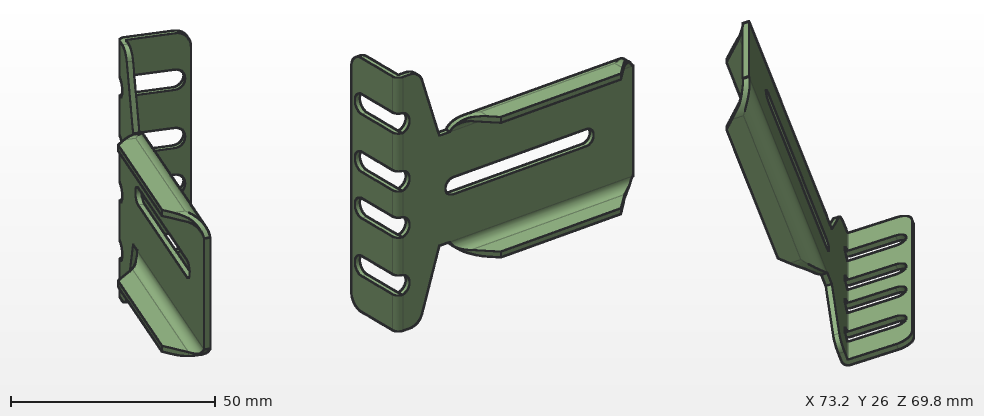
import cadquery as cq
import math

thickness = 1.6
length = 73.2
height = 69.8
wall_reach = 16.6
flange_depth = 9.4
bend_outer_radius = 1.75
corner_radius = 4.0

plate_half_height = 15.15
head_top_width = 6.9
head_base_width = 13.1

slot_start = 15.0
slot_end = 60.9
slot_width = 4.7

wall_slot_width = 5.5
wall_slot_heights = (6.4, 22.25)
wall_slot_margin = 1.5
wall_slot_reach = wall_reach - wall_slot_margin
wall_slot_plate_end = 3.9

flange_inner_radius = 2.55
flange_outer_radius = flange_inner_radius + thickness
flange_half_height = plate_half_height + flange_outer_radius
flange_middle = 44.65
flange_root_half = 28.3
flange_tip_half = 18.6
flange_crest_half = 20.8
trim_bulge = 0.2

half_height = height / 2

pick_margin = 0.1


def make_plate():
    outline = [
        (0, -half_height),
        (head_top_width, -half_height),
        (head_base_width, -plate_half_height),
        (length, -plate_half_height),
        (length, plate_half_height),
        (head_base_width, plate_half_height),
        (head_top_width, half_height),
        (0, half_height),
    ]
    plate = cq.Workplane("XZ").polyline(outline).close().extrude(thickness)
    head_corners = cq.selectors.BoxSelector(
        (head_top_width - pick_margin, -length, -height), (head_top_width + pick_margin, length, height)
    )
    return plate.edges("|Y").edges(head_corners).fillet(corner_radius)


def make_wall():
    wall = (
        cq.Workplane("XY")
        .box(thickness, wall_reach + thickness, height, centered=(False, False, True))
        .translate((0, -thickness, 0))
    )
    return wall.edges("|X and >Y").fillet(corner_radius)


def round_wall_bend(body):
    inner_corner = cq.selectors.BoxSelector(
        (thickness - pick_margin, -pick_margin, -height), (thickness + pick_margin, pick_margin, height)
    )
    body = body.edges("|Z").edges(inner_corner).fillet(bend_outer_radius - thickness)
    return body.edges("|Z and <X and <Y").fillet(bend_outer_radius)


def rounded_slot(plane, start, end, width):
    """Slot cutter on the given plane, long axis along the plane's local x."""
    return (
        cq.Workplane(plane)
        .center((start + end) / 2, 0)
        .slot2D(end - start, width)
        .extrude(length, both=True)
    )


def cut_wall_slots(body):
    end_radius = wall_slot_width / 2
    in_plate = rounded_slot("XZ", -length, wall_slot_plate_end, wall_slot_width)
    in_plate = in_plate.intersect(
        cq.Workplane("XY").box(length, thickness, height).translate((0, -thickness / 2, 0))
    )
    in_wall = rounded_slot("YZ", -thickness - end_radius, wall_slot_reach, wall_slot_width)
    in_wall = in_wall.intersect(
        cq.Workplane("XY").box(thickness, length, height).translate((thickness / 2, 0, 0))
    )
    bend_clearance = cq.Workplane("XY").box(
        2 * bend_outer_radius, 2 * (bend_outer_radius - thickness), wall_slot_width
    )
    for offset in wall_slot_heights:
        for z in (-offset, offset):
            for cutter in (in_plate, in_wall, bend_clearance):
                body = body.cut(cutter.translate((0, 0, z)))
    return body


def make_flange():
    """Upper flange: a bent strip whose ends are trimmed from the side and from above."""
    diagonal = math.sqrt(0.5)
    inner_face = flange_half_height - thickness
    section = (
        cq.Workplane("YZ")
        .moveTo(0, plate_half_height)
        .threePointArc(
            (
                -flange_outer_radius * (1 - diagonal),
                plate_half_height + flange_outer_radius * diagonal,
            ),
            (-flange_outer_radius, flange_half_height),
        )
        .lineTo(-flange_depth, flange_half_height)
        .lineTo(-flange_depth, inner_face)
        .lineTo(-flange_outer_radius, inner_face)
        .threePointArc(
            (
                -flange_outer_radius + flange_inner_radius * diagonal,
                plate_half_height + flange_inner_radius * diagonal,
            ),
            (-thickness, plate_half_height),
        )
        .close()
        .extrude(flange_root_half, both=True)
    )

    run = flange_root_half - flange_crest_half
    round_radius = (run**2 + flange_outer_radius**2) / (2 * flange_outer_radius)
    half_angle = math.asin(run / round_radius) / 2
    round_x = flange_crest_half + round_radius * math.sin(half_angle)
    round_z = flange_half_height - round_radius * (1 - math.cos(half_angle))
    rounded_ends = (
        cq.Workplane("XZ")
        .moveTo(-flange_root_half, plate_half_height)
        .threePointArc((-round_x, round_z), (-flange_crest_half, flange_half_height))
        .lineTo(flange_crest_half, flange_half_height)
        .threePointArc((round_x, round_z), (flange_root_half, plate_half_height))
        .close()
        .extrude(flange_depth)
    )

    slope_half = flange_tip_half + flange_depth - flange_outer_radius
    flare_x = (slope_half + flange_root_half) / 2
    flare_y = -(flange_outer_radius + thickness) / 2 + trim_bulge
    sloped_ends = (
        cq.Workplane("XY")
        .moveTo(-flange_root_half, 0)
        .lineTo(-flange_root_half, -thickness)
        .threePointArc((-flare_x, flare_y), (-slope_half, -flange_outer_radius))
        .lineTo(-flange_tip_half, -flange_depth)
        .lineTo(flange_tip_half, -flange_depth)
        .lineTo(slope_half, -flange_outer_radius)
        .threePointArc((flare_x, flare_y), (flange_root_half, -thickness))
        .lineTo(flange_root_half, 0)
        .close()
        .extrude(height)
    )
    flange = section.intersect(rounded_ends).intersect(sloped_ends)
    return flange.translate((flange_middle, 0, 0))


body = round_wall_bend(make_plate().union(make_wall()))
body = cut_wall_slots(body)
body = body.cut(rounded_slot("XZ", slot_start, slot_end, slot_width))
upper_flange = make_flange()
result = body.union(upper_flange).union(upper_flange.mirror("XY"))